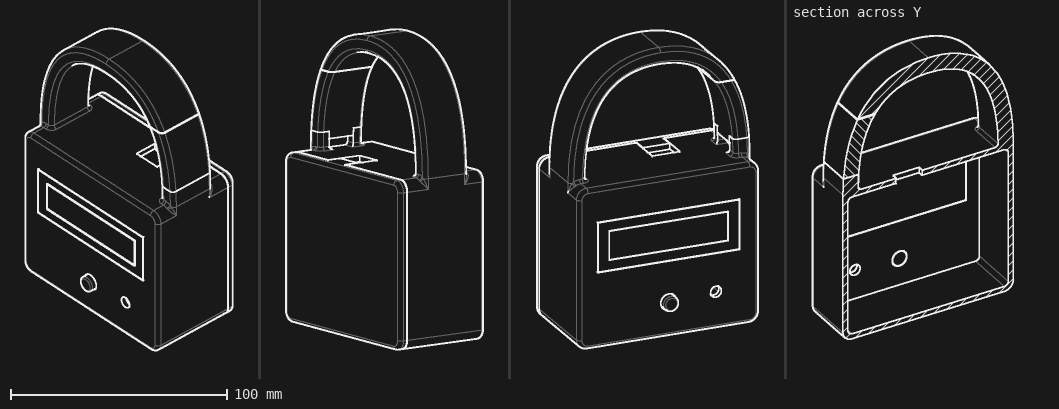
import cadquery as cq
CASE_WIDTH = 92.0
CASE_HEIGHT = 80.0
CASE_DEPTH = 48.5
CORNER_RADIUS = 5.0
EDGE_FILLET = 2.0
WALL = 3.0
COVER_THICKNESS = 4.0
CLEARANCE = 0.25
HOUSING_DEPTH = CASE_DEPTH - COVER_THICKNESS - CLEARANCE

NOTCH_WIDTH = 14
NOTCH_CENTER_X = 10.2
NOTCH_FRONT_Y = 26.0
TAB_FRONT_Y = 37.2

TOTAL_HEIGHT = 140
BAR_THICKNESS = 8.4
BAR_FRONT_Y = 9.7
BAR_WIDTH = 24.6
OUTER_SIDE_PULL = 41.7
OUTER_TOP_PULL = 27.5
INNER_SIDE_PULL = 37.1
INNER_TOP_PULL = 23.1
FOOT_FILLET = 1.5
LEG_BOTTOM_Z = CASE_HEIGHT - CORNER_RADIUS

GATE_BOTTOM_Z = 88.5
GATE_TOP_Z = 118.2
CHANNEL_WIDTH = 13.7
CHANNEL_WALL_X = 42.1
TONGUE_BOTTOM_Z = 85.0

DISPLAY_CENTER_Z = 50.1
WINDOW_WIDTH = 72.0
WINDOW_HEIGHT = 25.0
SCREEN_WIDTH = 60.0
SCREEN_HEIGHT = 14.4
SCREEN_DEPTH = 0.4

BUTTON_DIAMETER = 7.5
BUTTON_HOLE_DIAMETER = 8.0
BUTTON_Z = 17.2
BUTTON_PROTRUSION = 3.1
BUTTON_FILLET = 0.75
INDICATOR_DIAMETER = 5.5
INDICATOR_X = 24.0
INDICATOR_Z = 18.5


def box_between(x_min, x_max, y_min, y_max, z_min, z_max):
    """Axis-aligned box given by its limits."""
    return cq.Workplane("XY").box(x_max - x_min, y_max - y_min, z_max - z_min, centered=False).translate(
        (x_min, y_min, z_min)
    )


def centered_panel(width, height, center_z, y_min, y_max):
    """Rectangular panel centred on X = 0 that spans y_min to y_max."""
    half_width = width / 2
    half_height = height / 2
    return box_between(-half_width, half_width, y_min, y_max, center_z - half_height, center_z + half_height)


def rounded_slab(y_min, y_max):
    """Slice of the case with its four rounded corners."""
    return centered_panel(CASE_WIDTH, CASE_HEIGHT, CASE_HEIGHT / 2, y_min, y_max).edges("|Y").fillet(CORNER_RADIUS)


def cylinder_y(diameter, x, z, y_min, y_max):
    """Cylinder along Y."""
    return cq.Workplane("XZ", origin=(x, y_min, z)).circle(diameter / 2).extrude(y_min - y_max)


def arch(half_width, top_z, side_pull, top_pull):
    """Solid arch on straight legs; each half of its outline is one cubic curve, upright at its base."""
    side_z = CASE_HEIGHT + side_pull
    return (
        cq.Workplane("XZ", origin=(0, BAR_FRONT_Y, 0))
        .moveTo(-half_width, LEG_BOTTOM_Z)
        .lineTo(-half_width, CASE_HEIGHT)
        .bezier([(-half_width, CASE_HEIGHT), (-half_width, side_z), (-top_pull, top_z), (0, top_z)])
        .bezier([(0, top_z), (top_pull, top_z), (half_width, side_z), (half_width, CASE_HEIGHT)])
        .lineTo(half_width, LEG_BOTTOM_Z)
        .close()
        .extrude(-BAR_WIDTH)
    )


def make_shackle():
    """Complete shackle bar with its long edges rounded."""
    outer = arch(CASE_WIDTH / 2, TOTAL_HEIGHT, OUTER_SIDE_PULL, OUTER_TOP_PULL)
    inner = arch(
        CASE_WIDTH / 2 - BAR_THICKNESS,
        TOTAL_HEIGHT - BAR_THICKNESS,
        INNER_SIDE_PULL,
        INNER_TOP_PULL,
    )
    bar = outer.cut(inner)
    return bar.faces("<Y or >Y").edges("not(<Z)").fillet(EDGE_FILLET)


def right_leg_space(z_min, z_max):
    """Space around the right leg between two heights."""
    return box_between(0, CASE_WIDTH, 0, CASE_DEPTH, z_min, z_max)


def hinge_channel(z_min):
    """Space between the two cheeks of the right leg's stub, open towards the arch's inside."""
    middle_y = BAR_FRONT_Y + BAR_WIDTH / 2
    half_width = CHANNEL_WIDTH / 2
    return box_between(0, CHANNEL_WALL_X, middle_y - half_width, middle_y + half_width, z_min, GATE_BOTTOM_Z)


def foot_edges():
    """Selector of the edges where the shackle meets the flat top of the case."""
    flat_half_width = CASE_WIDTH / 2 - CORNER_RADIUS
    margin = 0.1
    return cq.selectors.BoxSelector(
        (-flat_half_width - margin, BAR_FRONT_Y - margin, CASE_HEIGHT - margin),
        (flat_half_width + margin, BAR_FRONT_Y + BAR_WIDTH + margin, CASE_HEIGHT + margin),
    )


def make_housing(shackle):
    """Hollow case, open at the back, with the fixed part of the shackle on top."""
    shell = rounded_slab(0, HOUSING_DEPTH).faces("<Y").edges().fillet(EDGE_FILLET)
    gate_gap = right_leg_space(GATE_BOTTOM_Z, GATE_TOP_Z + CLEARANCE)
    fixed_bar = shackle.cut(gate_gap).cut(hinge_channel(CASE_HEIGHT))
    housing = shell.union(fixed_bar).edges(foot_edges()).fillet(FOOT_FILLET)
    cavity = centered_panel(
        CASE_WIDTH - 2 * WALL, CASE_HEIGHT - 2 * WALL, CASE_HEIGHT / 2, WALL, HOUSING_DEPTH
    )
    cavity = cavity.edges("|Y").fillet(CORNER_RADIUS - WALL)
    notch = box_between(
        NOTCH_CENTER_X - NOTCH_WIDTH / 2,
        NOTCH_CENTER_X + NOTCH_WIDTH / 2,
        NOTCH_FRONT_Y,
        HOUSING_DEPTH,
        CASE_HEIGHT - WALL,
        CASE_HEIGHT,
    )
    window = centered_panel(WINDOW_WIDTH, WINDOW_HEIGHT, DISPLAY_CENTER_Z, 0, WALL)
    button_hole = cylinder_y(BUTTON_HOLE_DIAMETER, 0, BUTTON_Z, 0, WALL)
    indicator_hole = cylinder_y(INDICATOR_DIAMETER, INDICATOR_X, INDICATOR_Z, 0, WALL)
    for opening in (cavity, notch, window, button_hole, indicator_hole):
        housing = housing.cut(opening)
    return housing


def make_gate(shackle):
    """Stretch of the bar between the shackle's end and the stub, with a tongue between the cheeks."""
    stretch = shackle.intersect(right_leg_space(GATE_BOTTOM_Z, GATE_TOP_Z))
    tongue = shackle.intersect(hinge_channel(TONGUE_BOTTOM_Z))
    return stretch.union(tongue)


def make_cover():
    """Back plate with a tab that reaches into the housing's notch."""
    plate = rounded_slab(CASE_DEPTH - COVER_THICKNESS, CASE_DEPTH).faces(">Y").edges().fillet(EDGE_FILLET)
    half_tab = NOTCH_WIDTH / 2 - CLEARANCE
    tab = box_between(
        NOTCH_CENTER_X - half_tab,
        NOTCH_CENTER_X + half_tab,
        TAB_FRONT_Y,
        CASE_DEPTH - COVER_THICKNESS,
        CASE_HEIGHT - WALL,
        CASE_HEIGHT,
    )
    return plate.union(tab)


def make_display():
    """Display block filling the window, with its screen slightly sunk."""
    block = centered_panel(
        WINDOW_WIDTH - 2 * CLEARANCE, WINDOW_HEIGHT - 2 * CLEARANCE, DISPLAY_CENTER_Z, 0, WALL
    )
    screen = centered_panel(SCREEN_WIDTH, SCREEN_HEIGHT, DISPLAY_CENTER_Z, 0, SCREEN_DEPTH)
    return block.cut(screen)


def make_button():
    """Round push button with a rounded front rim."""
    stem = cylinder_y(BUTTON_DIAMETER, 0, BUTTON_Z, -BUTTON_PROTRUSION, WALL)
    return stem.faces("<Y").edges().fillet(BUTTON_FILLET)


full_shackle = make_shackle()
housing = make_housing(full_shackle)
gate = make_gate(full_shackle)
cover = make_cover()
display = make_display()
button = make_button()

result = cq.Compound.makeCompound(
    [housing.val(), gate.val(), cover.val(), display.val(), button.val()]
)